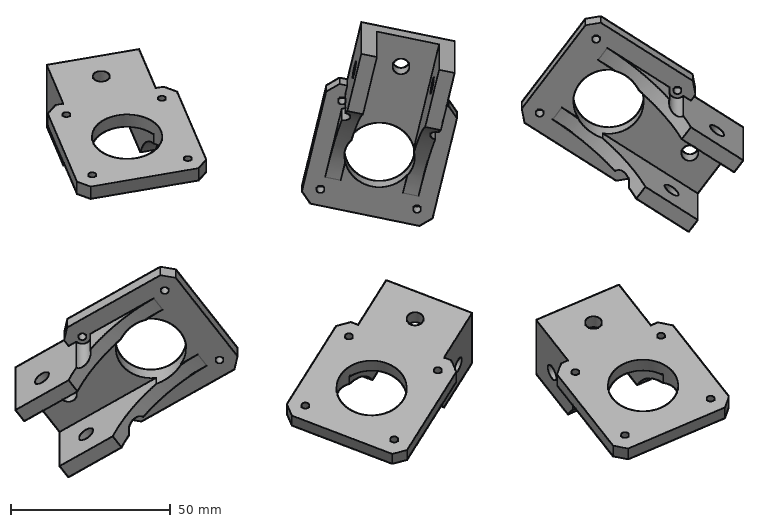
import cadquery as cq
import math

length = 62.0
plate_width = 42.0
height = 25.0

plate_thickness = 5.0
plate_corner = 3.5
plate_start = length - plate_width
bore_x = length - plate_width / 2
bore_diameter = 22.0
screw_spacing = 31.0
screw_diameter = 2.5
screw_head_diameter = 5.3

bracket_width = 30.0
leg_thickness = 5.0
pivot_x = plate_start / 2
pivot_depth = 15.0
pivot_diameter = 5.3

web_end = 52.0
web_run = web_end - plate_start
web_drop = height - plate_thickness
web_radius = (web_run**2 + web_drop**2) / (2 * web_drop)
half_sweep = math.asin(web_run / web_radius) / 2
web_mid_x = web_end - web_radius * math.sin(half_sweep)
web_mid_z = -plate_thickness - web_radius * (1 - math.cos(half_sweep))


def vertical_hole(x, y, diameter, top, bottom):
    """Cylinder along Z between two levels."""
    return cq.Workplane("XY", origin=(x, y, bottom)).circle(diameter / 2).extrude(top - bottom)


def motor_plate():
    blank = cq.Workplane("XY").box(plate_width, plate_width, plate_thickness)
    return blank.edges("|Z").chamfer(plate_corner).translate((bore_x, 0, -plate_thickness / 2))


def bracket():
    profile = (
        cq.Workplane("XZ")
        .lineTo(0, -height)
        .lineTo(plate_start, -height)
        .threePointArc((web_mid_x, web_mid_z), (web_end, -plate_thickness))
        .lineTo(web_end, 0)
        .close()
        .extrude(bracket_width / 2, both=True)
    )
    channel = cq.Workplane("XY").box(
        length, bracket_width - 2 * leg_thickness, height, centered=(False, True, False)
    )
    return profile.cut(channel.translate((0, 0, -plate_thickness - height)))


result = motor_plate().union(bracket())

result = result.cut(vertical_hole(bore_x, 0, bore_diameter, 0, -height))
result = result.cut(vertical_hole(pivot_x, 0, pivot_diameter, 0, -plate_thickness))
cross_hole = (
    cq.Workplane("XZ")
    .center(pivot_x, -pivot_depth)
    .circle(pivot_diameter / 2)
    .extrude(bracket_width / 2, both=True)
)
result = result.cut(cross_hole)

for x_side in (-1, 1):
    for y_side in (-1, 1):
        screw_x = bore_x + x_side * screw_spacing / 2
        screw_y = y_side * screw_spacing / 2
        result = result.cut(vertical_hole(screw_x, screw_y, screw_diameter, 0, -plate_thickness))
        result = result.cut(
            vertical_hole(screw_x, screw_y, screw_head_diameter, -plate_thickness, -height)
        )